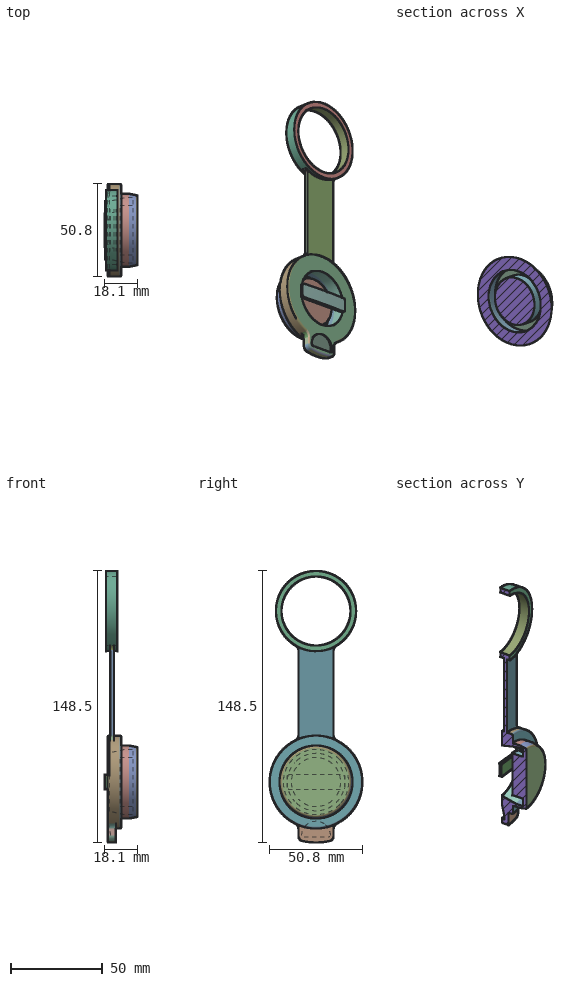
import cadquery as cq
import math

total_height = 148.5

ring_outer_dia = 44.0
ring_inner_dia = 37.5
ring_front = 0.7
ring_thickness = 6.4
ring_z = total_height - ring_outer_dia / 2

cap_dia = 50.8
cap_front = 1.8
cap_thickness = 7.4
cap_edge_radius = 0.9
cap_z = 33.1
cap_back = cap_front + cap_thickness
plug_dia = 40.0
plug_straight_end = 13.7
plug_end = 18.1
plug_tip_dia = 38.1
plug_tip_radius = 0.9

recess_mouth_dia = 31.5
recess_inner_dia = 35.6
recess_flare_depth = 9.4
recess_depth = 13.8
post_dia = 26.9
post_front = 8.6
bar_length = 31.9
bar_height = 8.0
bar_corner_radius = 1.41
bar_front = 0.0
bar_crown = 0.5

strap_width = 19.3
strap_front = 3.1
strap_thickness = 2.2
strap_root_radius = 3.0

tab_thickness = 4.5
tab_corner_radius = 3.0
tab_neck_radius = 3.3
notch_radius = 7.9
notch_z = 3.9
notch_bottom = 3.0
notch_land_top = 4.3
notch_depth = 1.6
notch_corner_radius = 1.5


def disc(diameter, center_z, front, thickness):
    """Round plate with its axis along X."""
    plane = cq.Workplane("YZ", origin=(front, 0, center_z))
    return plane.circle(diameter / 2).extrude(thickness)


def cone(front_dia, back_dia, center_z, front, length):
    """Round tapered body with its axis along X."""
    start = cq.Vector(front, 0, center_z)
    return cq.Workplane(cq.Solid.makeCone(front_dia / 2, back_dia / 2, length, start, cq.Vector(1, 0, 0)))


def strip(width, bottom, top, front, thickness):
    """Upright flat strip centred on Y = 0."""
    height = top - bottom
    plane = cq.Workplane("YZ", origin=(front, 0, bottom + height / 2))
    return plane.rect(width, height).extrude(thickness)


def corner_edges(front, thickness, radius, center_z, side):
    """Picks the edges along X where a strip meets a circle, above (+1) or below (-1) its centre."""
    half = strap_width / 2
    z = center_z + side * math.sqrt(radius**2 - half**2)
    reach = 0.1
    return cq.selectors.BoxSelector(
        (front - reach, -half - reach, z - reach),
        (front + thickness + reach, half + reach, z + reach),
    )


def make_cap():
    tab_end_radius = cap_z
    tab = strip(strap_width, 0, cap_z, cap_front, tab_thickness)
    tab = tab.intersect(disc(2 * tab_end_radius, cap_z, cap_front, tab_thickness))
    tab_corners = corner_edges(cap_front, tab_thickness, tab_end_radius, cap_z, -1)
    tab = tab.edges(tab_corners).fillet(tab_corner_radius)
    cap = disc(cap_dia, cap_z, cap_front, cap_thickness)
    cap = cap.faces(">X").edges().fillet(cap_edge_radius)
    neck_corners = corner_edges(cap_front, tab_thickness, cap_dia / 2, cap_z, -1)
    cap = cap.union(tab).edges(neck_corners).fillet(tab_neck_radius)
    return cap.faces("<X").edges().fillet(cap_edge_radius)


def make_plug():
    straight = disc(plug_dia, cap_z, cap_back, plug_straight_end - cap_back)
    taper = cone(plug_dia, plug_tip_dia, cap_z, plug_straight_end, plug_end - plug_straight_end)
    return straight.union(taper.faces(">X").edges().fillet(plug_tip_radius))


def make_recess():
    """Ring-shaped pocket that widens behind its mouth and leaves a lower post in the middle."""
    flare = cone(recess_mouth_dia, recess_inner_dia, cap_z, cap_front, recess_flare_depth)
    flare_end = cap_front + recess_flare_depth
    floor = cap_front + recess_depth
    pocket = flare.union(disc(recess_inner_dia, cap_z, flare_end, floor - flare_end))
    return pocket.cut(disc(post_dia, cap_z, post_front, floor - post_front))


def make_grip_bar():
    half = bar_length / 2
    shoulder = bar_front + bar_crown
    bar = (
        cq.Workplane("XY", origin=(0, 0, cap_z - bar_height / 2))
        .moveTo(cap_front, -half)
        .lineTo(shoulder, -half)
        .threePointArc((bar_front, 0), (shoulder, half))
        .lineTo(cap_front, half)
        .close()
        .extrude(bar_height)
    )
    return bar.edges("|X").fillet(bar_corner_radius)


def make_tab_notch():
    """Thumb notch: a ramp sinking from the tab face to a flat land above the lower wall."""
    notch_top = notch_z + notch_radius
    ramp = (
        cq.Workplane("XZ", origin=(0, notch_radius, 0))
        .moveTo(cap_front, notch_top)
        .lineTo(cap_front + notch_depth, notch_land_top)
        .lineTo(cap_front + notch_depth, notch_bottom)
        .lineTo(cap_front, notch_bottom)
        .close()
        .extrude(2 * notch_radius)
    )
    ramp = ramp.intersect(disc(2 * notch_radius, notch_z, cap_front, notch_depth))
    return ramp.edges("|X").fillet(notch_corner_radius)


def join_strap(body, radius, center_z, side):
    """Rounds the two corners where the strap edges run into a round part."""
    roots = corner_edges(strap_front, strap_thickness, radius, center_z, side)
    return body.edges(roots).fillet(strap_root_radius)


strap = strip(strap_width, cap_z, ring_z, strap_front, strap_thickness)
ring_blank = disc(ring_outer_dia, ring_z, ring_front, ring_thickness)
ring_bore = disc(ring_inner_dia, ring_z, ring_front, ring_thickness)

result = make_cap().union(strap).union(ring_blank)
result = join_strap(result, cap_dia / 2, cap_z, 1)
result = join_strap(result, ring_outer_dia / 2, ring_z, -1)
result = (
    result.cut(ring_bore)
    .union(make_plug())
    .cut(make_recess())
    .union(make_grip_bar())
    .cut(make_tab_notch())
)